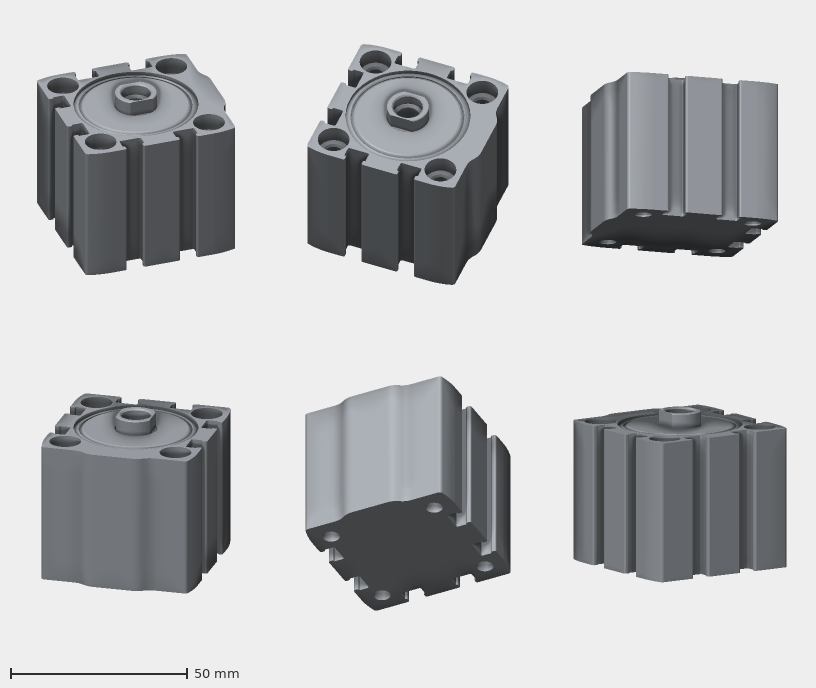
import cadquery as cq
import math

body_width = 45.0
half_width = body_width / 2
body_height = 40.0
side_flat_half = 15.5
side_arc_radius = 22.0
corner_radius = 1.0

pad_height = 2.0
pad_top_half = 5.7
pad_foot_half = 12.0

slot_offset = 8.0
slot_mouth = 5.1
slot_inner_width = 6.4
slot_lip = 1.6
slot_depth = 4.75
slot_lip_radius = 0.5
slot_floor_radius = 0.5
match_tolerance = 0.01

mount_pitch = 32.5
mount_hole_diameter = 4.92
mount_chamfer_diameter = 6.1
mount_bore_diameter = 9.0
mount_bore_depth = 5.0

groove_outer_diameter = 35.4
groove_wall_depth = 1.15
ridge_diameter = 32.6
ridge_depth = 0.3
bore_diameter = 32.0
bore_edge_depth = 0.6
cap_foot_diameter = 31.7
cap_foot_depth = 0.95
cap_shoulder_diameter = 30.5
cap_shoulder_depth = 0.4
cap_top_diameter = 29.7
cap_recess = 0.2

cap_top = body_height - cap_recess

rod_diameter = 12.0
rod_projection = 4.0
rod_embedded = 30.0
rod_bottom = body_height - rod_embedded
rod_top = body_height + rod_projection
rod_edge_chamfer = 0.2
rod_hole_chamfer = 0.15
flat_width = 10.0
flat_bottom_depth = 0.5
flat_ledge_angle = 30.0

rod_bore_diameter = 8.4
rod_bore_mouth_diameter = 9.25
rod_bore_mouth_depth = 0.4
rod_bore_depth = 3.4
thread_diameter = 6.65
thread_mouth_diameter = 8.0
thread_cone_height = (thread_mouth_diameter - thread_diameter) / 2
thread_depth = 15.0
drill_tip_height = 2.0


def make_profile():
    """Closed XY outline of the extrusion, with the bowed sides and the pad."""
    bow_rise = half_width - side_flat_half
    bow_inset = side_arc_radius - math.sqrt(side_arc_radius**2 - bow_rise**2)
    mid_rise = bow_rise / 2
    mid_inset = side_arc_radius - math.sqrt(side_arc_radius**2 - mid_rise**2)
    corner_x = half_width - bow_inset
    bow_x = half_width - mid_inset
    bow_y = side_flat_half + mid_rise
    pad_y = half_width + pad_height
    blend = ((pad_top_half + pad_foot_half) / 2, half_width + pad_height / 2)
    return (
        cq.Workplane("XY")
        .moveTo(-corner_x, -half_width)
        .lineTo(corner_x, -half_width)
        .threePointArc((bow_x, -bow_y), (half_width, -side_flat_half))
        .lineTo(half_width, side_flat_half)
        .threePointArc((bow_x, bow_y), (corner_x, half_width))
        .lineTo(pad_foot_half, half_width)
        .tangentArcPoint(blend, relative=False)
        .tangentArcPoint((pad_top_half, pad_y), relative=False)
        .lineTo(-pad_top_half, pad_y)
        .tangentArcPoint((-blend[0], blend[1]), relative=False)
        .tangentArcPoint((-pad_foot_half, half_width), relative=False)
        .lineTo(-corner_x, half_width)
        .threePointArc((-bow_x, bow_y), (-half_width, side_flat_half))
        .lineTo(-half_width, -side_flat_half)
        .threePointArc((-bow_x, -bow_y), (-corner_x, -half_width))
        .close()
    )


def make_extrusion():
    """Extruded profile with its four main corners rounded."""
    extrusion = make_profile().extrude(body_height)
    reach = 2 * corner_radius
    for x in (-half_width, half_width):
        for y in (-half_width, half_width):
            zone = cq.selectors.BoxSelector(
                (x - reach, y - reach, 0),
                (x + reach, y + reach, body_height),
            )
            extrusion = extrusion.edges("|Z").edges(zone).fillet(corner_radius)
    return extrusion


def cut_slots(housing):
    """T-slots, two on each of the -X, -Y and +X faces."""
    def box(width, start, end):
        return (
            cq.Workplane("XY")
            .center(0, (start + end) / 2 - half_width)
            .rect(width, end - start)
            .extrude(body_height)
        )

    mouth = box(slot_mouth, 0, slot_lip)
    chamber = box(slot_inner_width, slot_lip, slot_depth).edges("|Z and >Y").fillet(slot_floor_radius)
    slot = mouth.union(chamber)
    for face_angle in (-90, 0, 90):
        for offset in (-slot_offset, slot_offset):
            placed = slot.translate((offset, 0, 0)).rotate((0, 0, 0), (0, 0, 1), face_angle)
            housing = housing.cut(placed)
    return housing


def round_slot_lips(housing):
    """Round the outer and inner edges of the lips at every slot mouth."""
    edges = []
    for edge in housing.edges("|Z").vals():
        point = edge.Center()
        side_position = (half_width - abs(point.x), point.y)
        front_position = (half_width + point.y, point.x)
        for across, along in (side_position, front_position):
            at_mouth = abs(abs(abs(along) - slot_offset) - slot_mouth / 2) < match_tolerance
            on_lip = -match_tolerance < across < slot_lip + match_tolerance
            if at_mouth and on_lip:
                edges.append(edge)
    return housing.newObject(edges).fillet(slot_lip_radius)


def cut_mount_holes(housing):
    """Counterbored through holes with a thread chamfer on the counterbore floor."""
    hole_radius = mount_hole_diameter / 2
    chamfer_radius = mount_chamfer_diameter / 2
    floor_z = body_height - mount_bore_depth
    cutter = (
        cq.Workplane("XZ")
        .moveTo(0, 0)
        .lineTo(hole_radius, 0)
        .lineTo(hole_radius, floor_z - (chamfer_radius - hole_radius))
        .lineTo(chamfer_radius, floor_z)
        .lineTo(mount_bore_diameter / 2, floor_z)
        .lineTo(mount_bore_diameter / 2, body_height)
        .lineTo(0, body_height)
        .close()
        .revolve()
    )
    for x in (-mount_pitch / 2, mount_pitch / 2):
        for y in (-mount_pitch / 2, mount_pitch / 2):
            housing = housing.cut(cutter.translate((x, y, 0)))
    return housing


def make_top_recess():
    """Cutter for the groove wall, the cone up to the ridge, the bevelled cap edge and the cap face."""
    return (
        cq.Workplane("XZ")
        .moveTo(groove_outer_diameter / 2, body_height)
        .lineTo(groove_outer_diameter / 2, body_height - groove_wall_depth)
        .lineTo(ridge_diameter / 2, body_height - ridge_depth)
        .lineTo(bore_diameter / 2, body_height - bore_edge_depth)
        .lineTo(bore_diameter / 2, body_height - cap_foot_depth)
        .lineTo(cap_foot_diameter / 2, body_height - cap_foot_depth)
        .lineTo(cap_shoulder_diameter / 2, body_height - cap_shoulder_depth)
        .lineTo(cap_top_diameter / 2, cap_top)
        .lineTo(0, cap_top)
        .lineTo(0, body_height)
        .close()
        .revolve()
    )


def make_rod_hole():
    """Blind hole that holds the rod, chamfered where it meets the cap face."""
    rod_radius = rod_diameter / 2
    mouth_radius = rod_radius + rod_hole_chamfer
    return (
        cq.Workplane("XZ")
        .moveTo(0, rod_bottom)
        .lineTo(rod_radius, rod_bottom)
        .lineTo(rod_radius, cap_top - rod_hole_chamfer)
        .lineTo(mouth_radius, cap_top)
        .lineTo(0, cap_top)
        .close()
        .revolve()
    )


def make_housing():
    housing = round_slot_lips(cut_slots(make_extrusion()))
    housing = cut_mount_holes(housing)
    return housing.cut(make_top_recess()).cut(make_rod_hole())


def make_flat_cutter():
    """Material removed at the +X flat: a wedge-bottomed block over the full rod width."""
    inner_x = flat_width / 2
    outer_x = rod_diameter
    bottom_z = body_height - flat_bottom_depth
    ledge_fall = (outer_x - inner_x) * math.tan(math.radians(flat_ledge_angle))
    return (
        cq.Workplane("XZ")
        .moveTo(inner_x, rod_top)
        .lineTo(inner_x, bottom_z)
        .lineTo(outer_x, bottom_z - ledge_fall)
        .lineTo(outer_x, rod_top)
        .close()
        .extrude(rod_diameter / 2, both=True)
    )


def make_rod_bore():
    """Counterbore with a bevelled mouth, then the thread hole with its drill tip."""
    thread_top = rod_top - rod_bore_depth - thread_cone_height
    thread_bottom = rod_top - thread_depth
    return (
        cq.Workplane("XZ")
        .moveTo(0, rod_top)
        .lineTo(rod_bore_mouth_diameter / 2, rod_top)
        .lineTo(rod_bore_diameter / 2, rod_top - rod_bore_mouth_depth)
        .lineTo(rod_bore_diameter / 2, rod_top - rod_bore_depth)
        .lineTo(thread_mouth_diameter / 2, rod_top - rod_bore_depth)
        .lineTo(thread_diameter / 2, thread_top)
        .lineTo(thread_diameter / 2, thread_bottom)
        .lineTo(0, thread_bottom - drill_tip_height)
        .close()
        .revolve()
    )


def make_rod():
    rod = (
        cq.Workplane("XY", origin=(0, 0, rod_bottom))
        .circle(rod_diameter / 2)
        .extrude(rod_embedded + rod_projection)
        .faces(">Z")
        .chamfer(rod_edge_chamfer)
    )
    flat_cutter = make_flat_cutter()
    rod = rod.cut(flat_cutter).cut(flat_cutter.mirror("YZ"))
    return rod.cut(make_rod_bore())


housing = make_housing()
rod = make_rod()

result = cq.Compound.makeCompound([housing.val(), rod.val()])